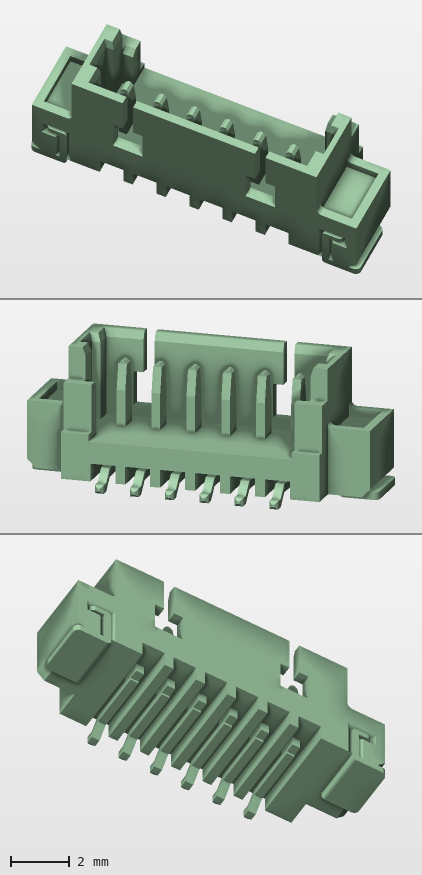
import cadquery as cq

overall_length = 12.45
overall_height = 4.75
pin_count = 6
pin_span = 6.25
pin_pitch = pin_span / (pin_count - 1)

housing_bottom = 0.27
shell_half_width = 4.63
shell_depth = 2.8
column_depth = 3.4
base_depth = 3.71
column_height = 3.62
base_height = 1.94
floor_height = 1.69

mouth_half_width = 4.13
mouth_front = 0.3
mouth_draft = 0.1
mouth_draft_height = 0.3
cavity_half_width = mouth_half_width - mouth_draft
rib_slot_depth = 0.3
rib_slot_front = 1.0
rib_slot_back = 2.2
lip_half_gap = 3.64
lip_chamfer = 0.22

window_centre = 2.5
window_width = 1.12
window_bottom = 2.1
window_top = 3.3
latch_slot_width = 0.4

wing_half_width = 6.14
wing_depth = 2.74
wing_height = 2.66
wing_wall = 0.31
wing_pocket_depth = 0.3
wing_chamfer = 0.3
wing_fillet = 0.2

pin_slot_width = 0.9
pin_slot_top = 0.91

pin_width = 0.31
blade_front = 0.9
blade_back = 1.63
blade_bottom = 0.51
blade_top = 3.97
taper_start = 2.98
tip_depth = 0.39
tip_width = 0.1
tip_chamfer = (pin_width - tip_width) / 2
taper_end = blade_top - tip_chamfer
arm_start = (blade_front + blade_back) / 2
arm_bottom = 0.41
foot_thickness = 0.3
foot_start = 3.82
foot_end = 4.21
toe_chamfer = 0.1

tab_depth = 2.05
tab_outer = overall_length / 2
tab_inner = 4.83
tab_leg_thickness = 0.26
tab_leg_outer = tab_inner + tab_leg_thickness
tab_arm_end = 5.61
tab_arm_bottom = 1.47
tab_arm_top = 1.68
tab_bend_radius = 0.15
tab_corner_radius = 0.2
tab_lead_in = 0.16
lead_in_angle = 45


def box(x_min, x_max, y_min, y_max, z_min, z_max):
    size = (x_max - x_min, y_max - y_min, z_max - z_min)
    return cq.Workplane("XY").box(*size, centered=False).translate((x_min, y_min, z_min))


def centred_box(half_width, y_min, y_max, z_min, z_max):
    return box(-half_width, half_width, y_min, y_max, z_min, z_max)


def both_sides(shape):
    """The shape together with its mirror image across X = 0."""
    return shape.union(shape.mirror("YZ"))


def extrude_along_y(outline, depth, taper=0):
    """Extrude an outline of (X, Z) points from Y = 0 to Y = depth, narrowing by the taper angle."""
    return cq.Workplane("XZ").polyline(outline).close().extrude(-depth, taper=taper)



def make_tab():
    """Tab at +X: flat foot, upright leg and a short arm that hooks outwards."""
    leg = box(tab_inner, tab_leg_outer, 0, tab_depth, 0, tab_arm_top)
    foot = box(tab_leg_outer, tab_outer, 0, tab_depth, 0, housing_bottom)
    arm = box(tab_leg_outer, tab_arm_end, 0, tab_depth, tab_arm_bottom, tab_arm_top)
    foot = foot.faces(">X").edges("|Z").fillet(tab_corner_radius)
    arm = arm.faces(">X").edges("|Z").fillet(tab_corner_radius)
    leg = leg.faces("<X").edges("|Y").fillet(tab_bend_radius)
    return leg.union(foot).union(arm)



def make_pin():
    """Pin centred on X = 0: tapered blade, arm to the rear and a lowered flat foot."""
    arm_top = arm_bottom + foot_thickness
    blade_middle = (blade_front + blade_back) / 2
    tip_front = blade_middle - tip_depth / 2
    tip_back = blade_middle + tip_depth / 2
    side_profile = [
        (blade_front, blade_bottom),
        (arm_start, blade_bottom),
        (arm_start, arm_bottom),
        (foot_start - arm_bottom, arm_bottom),
        (foot_start, 0),
        (foot_end, 0),
        (foot_end, foot_thickness),
        (foot_start, foot_thickness),
        (foot_start - arm_bottom, arm_top),
        (blade_back, arm_top),
        (blade_back, taper_start),
        (tip_back, taper_end),
        (tip_back, blade_top),
        (tip_front, blade_top),
        (tip_front, taper_end),
        (blade_front, taper_start),
    ]
    pin = cq.Workplane("YZ").polyline(side_profile).close().extrude(pin_width / 2, both=True)
    pin = pin.faces(">Z").edges("|Y").chamfer(tip_chamfer)
    return pin.faces(">Y").edges().chamfer(toe_chamfer)



def make_shell():
    """Stepped block of the housing between the wings."""
    profile = [
        (0, housing_bottom),
        (base_depth, housing_bottom),
        (base_depth, base_height),
        (column_depth, base_height),
        (column_depth, column_height),
        (shell_depth, column_height),
        (shell_depth, overall_height),
        (0, overall_height),
    ]
    return cq.Workplane("YZ").polyline(profile).close().extrude(shell_half_width, both=True)


def make_wing():
    """Hollow-topped wing at +X, filleted into the shell wall."""
    outline = [
        (shell_half_width, housing_bottom),
        (wing_half_width - wing_chamfer, housing_bottom),
        (wing_half_width, housing_bottom + wing_chamfer),
        (wing_half_width, wing_height),
        (shell_half_width, wing_height),
    ]
    wing = extrude_along_y(outline, wing_depth)
    root = (
        cq.Workplane("XZ")
        .moveTo(shell_half_width, wing_height)
        .lineTo(shell_half_width + wing_fillet, wing_height)
        .radiusArc((shell_half_width, wing_height + wing_fillet), wing_fillet)
        .close()
        .extrude(-wing_depth)
    )
    pocket = box(
        shell_half_width, wing_half_width - wing_wall,
        wing_wall, wing_depth - wing_wall,
        wing_height - wing_pocket_depth, overall_height,
    )
    return wing.union(root).cut(pocket)


def cavity_outline(height, inset):
    """Plug outline at a height, narrowed by an inset and open at the rear."""
    half = mouth_half_width - inset
    groove = half + rib_slot_depth
    right_side = [
        (half, mouth_front + inset),
        (half, rib_slot_front + inset),
        (groove, rib_slot_front + inset),
        (groove, rib_slot_back - inset),
        (half, rib_slot_back - inset),
        (half, base_depth),
    ]
    left_side = [(-x, y) for x, y in reversed(right_side)]
    return cq.Workplane("XY", origin=(0, 0, height)).polyline(right_side + left_side).close()


def make_cavity():
    """Plug cavity with a drafted mouth."""
    draft_bottom = overall_height - mouth_draft_height
    well = cavity_outline(floor_height, mouth_draft).extrude(draft_bottom - floor_height)
    lower_wire = cavity_outline(draft_bottom, mouth_draft).val()
    upper_wire = cavity_outline(overall_height, 0).val()
    mouth = cq.Workplane(cq.Solid.makeLoft([lower_wire, upper_wire], True))
    return well.union(mouth)


def make_rear_lip():
    """Lip of the rear column at +X, with a bevelled front top edge."""
    profile = [
        (shell_depth, floor_height),
        (base_depth, floor_height),
        (base_depth, base_height),
        (column_depth, base_height),
        (column_depth, column_height),
        (shell_depth + lip_chamfer, column_height),
        (shell_depth, column_height - lip_chamfer),
    ]
    lip = cq.Workplane("YZ", origin=(lip_half_gap, 0, 0)).polyline(profile).close()
    return lip.extrude(cavity_half_width - lip_half_gap)


def make_latch_window():
    """Window through the front wall at +X and the slot that opens it to the top."""
    wall = mouth_front + mouth_draft
    window = centred_box(window_width / 2, 0, wall, window_bottom, window_top)
    slot = centred_box(latch_slot_width / 2, 0, wall, window_bottom, overall_height)
    return window.union(slot).translate((window_centre, 0, 0))


def make_pin_slot():
    """Slot for a pin at X = 0, open along the underside from front to back."""
    return centred_box(pin_slot_width / 2, 0, base_depth, housing_bottom, pin_slot_top)


def make_tab_lead_in():
    """Bevelled recess in the front face around the tab at +X."""
    inner = tab_inner - tab_lead_in
    leg_outer = tab_leg_outer + tab_lead_in
    arm_end = tab_arm_end + tab_lead_in
    arm_top = tab_arm_top + tab_lead_in
    arm_bottom_edge = tab_arm_bottom - tab_lead_in
    outline = [
        (inner, housing_bottom),
        (inner, arm_top),
        (arm_end, arm_top),
        (arm_end, arm_bottom_edge),
        (leg_outer, arm_bottom_edge),
        (leg_outer, housing_bottom),
    ]
    return extrude_along_y(outline, tab_lead_in, lead_in_angle)


def make_housing(pins, tabs):
    """Housing with a matching hole for every pin and tab."""
    housing = make_shell().cut(make_cavity())
    housing = housing.union(both_sides(make_wing()))
    housing = housing.union(both_sides(make_rear_lip()))
    housing = housing.cut(both_sides(make_latch_window()))
    housing = housing.cut(both_sides(make_tab_lead_in()))
    for x in pin_positions:
        housing = housing.cut(make_pin_slot().translate((x, 0, 0)))
    for insert in pins + tabs:
        housing = housing.cut(insert)
    return housing


pin_positions = [-pin_span / 2 + i * pin_pitch for i in range(pin_count)]
pins = [make_pin().translate((x, 0, 0)) for x in pin_positions]
right_tab = make_tab()
tabs = [right_tab, right_tab.mirror("YZ")]
housing = make_housing(pins, tabs)

result = cq.Compound.makeCompound([body.val() for body in [housing] + pins + tabs])